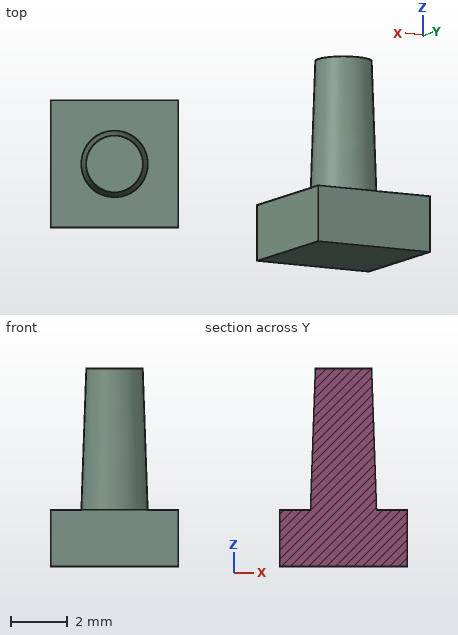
import cadquery as cq
import math

total_height = 7.0
base_side = 4.5
base_height = 2.0

post_top_diameter = 2.0
post_draft_angle = 2.0
post_height = total_height - base_height
post_top_radius = post_top_diameter / 2
post_bottom_radius = post_top_radius + post_height * math.tan(math.radians(post_draft_angle))


def make_base():
    """Square block standing on the XY plane."""
    return cq.Workplane("XY").box(base_side, base_side, base_height, centered=(True, True, False))


def make_post():
    """Truncated cone rising from the top face of the base."""
    cone = cq.Solid.makeCone(post_bottom_radius, post_top_radius, post_height)
    return cq.Workplane("XY").add(cone).translate((0, 0, base_height))


result = make_base().union(make_post())